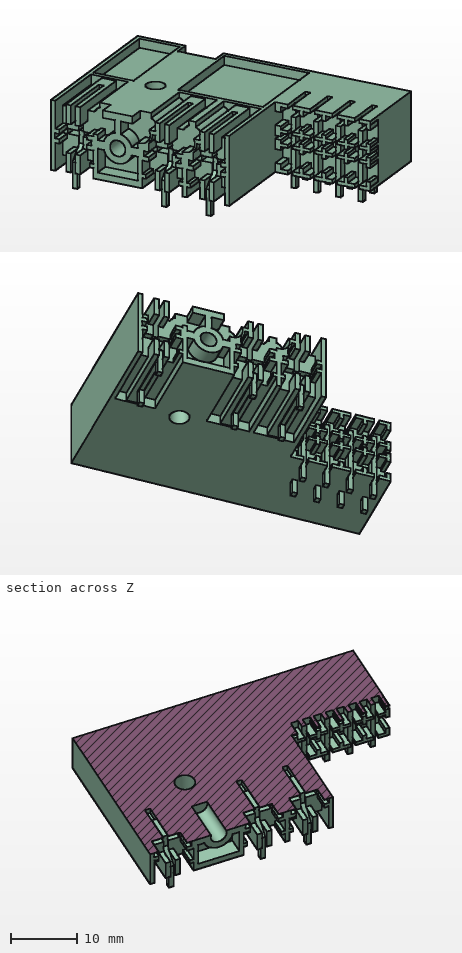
import cadquery as cq
import math

length = 46.7
depth = 28.3
height = 14.0
pin_length = 2.5
mid_z = (pin_length + height) / 2
half_height = (height - pin_length) / 2

pitch = 7.6
power_length = 4 * pitch
contact_centers = [pitch / 2, pitch * 5 / 2, pitch * 7 / 2]
boss_x = pitch * 3 / 2
side_wall = 0.75
open_depth = 2.5
bay_end = 11.65

ledge = 4.05
ledge_web = 3.35
rail_half = 1.15
rib_width = 0.6
slot_half = 0.4

wall_half = 0.37
wall_top = 1.6

key_offset = pitch / 2
key_radius = 1.75
key_outer_radius = 2.1
key_z = wall_top + key_radius
deck_edge_radius = 1.7
deck_edge_offset = 3.2

fork_half = 1.2
fork_near = 2.4
fork_far = 5.5
rail_inner = 2.35
plate_half = 3.15
slot_inner = 2.2
slot_end = 6.75
slit_end = 9.2
blade_half = 0.395
pin_depth = 0.9
blade_front = 0.55
blade_shoulder = 2.8
ramp_top = -1.7
ramp_bottom = -3.95

boss_radius = 2.47
bore_radius = 1.3
bore_depth = 7.0
boss_web_half = 0.7
stem_half = 0.5
flange_half = 2.5
flange_z = 4.55
pocket_floor = 4.6
fixing_radius = 1.55
fixing_y = 12.33
notch_half = 3.2

deck_pocket_depth = 1.5
deck_pocket_front = 12.45
deck_pocket_back = depth - 0.85
deck_pockets = [(side_wall, pitch), (2 * pitch, power_length - side_wall)]

signal_pitch = pitch / 2
signal_first_offset = 2.55
signal_centers = [power_length + signal_first_offset + i * signal_pitch for i in range(4)]
signal_front = 15.0
signal_block_front = signal_front + open_depth
signal_slit_end = 20.75
signal_blade_front = 16.1
signal_blade_top = 3.35
stub_half = 0.35
upper_rows = [(0.85, 1.4, 0.3, 1.95), (5.1, half_height, 4.25, half_height)]


def block(x0, x1, y0, y1, z0, z1):
    """Box between two corners, with z counted from the mid plane."""
    return cq.Workplane("XY").box(x1 - x0, y1 - y0, z1 - z0, centered=False).translate((x0, y0, mid_z + z0))


def rod(x, z, radius, y0, y1):
    """Cylinder along Y, with z counted from the mid plane."""
    plane = cq.Workplane("XZ", origin=(x, y0, mid_z + z))
    return plane.circle(radius).extrude(y0 - y1)


def blade(x, profile):
    """Blade centred on x, from a (y, z) outline."""
    plane = cq.Workplane("YZ", origin=(x - blade_half, 0, 0))
    return plane.polyline(profile).close().extrude(2 * blade_half)


def bay_bounds(x):
    """Inner faces of the walls on both sides of the contact bay at x."""
    left = max(x - pitch / 2 + wall_half, side_wall)
    right = min(x + pitch / 2 - wall_half, power_length - side_wall)
    return left, right


def has_neighbour(x, side):
    """True where the bay borders another station instead of an outer wall."""
    return 0 < x + side * pitch < power_length


def top_recess(x):
    """Recess over the contact bay; the deck edge beside another station is rounded about the key axis."""
    left, right = bay_bounds(x)
    recess = block(left, right, open_depth, bay_end, ledge, half_height)
    for side in (-1, 1):
        if has_neighbour(x, side):
            key_x = x + side * key_offset
            deck_edge = x + side * deck_edge_offset
            outside = sorted((deck_edge, x + side * pitch))
            recess = recess.cut(rod(key_x, key_z, deck_edge_radius, open_depth, bay_end))
            recess = recess.cut(block(*outside, open_depth, bay_end, ledge, half_height))
    return recess


def key_wall(x):
    """Curved wall left of the bay at x, with the web that ties it to the upper fork."""
    key_x = x - key_offset
    wall_left = x - pitch / 2 - wall_half
    rail_edge = x - rail_inner
    ring_bottom = key_z - math.sqrt(key_outer_radius**2 - (rail_edge - key_x) ** 2)
    ring = rod(key_x, key_z, key_outer_radius, 0, open_depth)
    ring = ring.intersect(block(key_x, x, 0, open_depth, ring_bottom, ledge))
    base = block(wall_left, rail_edge, 0, open_depth, -rail_half, ring_bottom)
    web = block(key_x, x - fork_half, 0, open_depth, ledge_web, ledge)
    return ring.union(base).union(web).cut(rod(key_x, key_z, key_radius, 0, open_depth))


def bay_rails(x):
    """Plate rails at mid height and the small ribs near the bottom of the bay."""
    left, right = bay_bounds(x)
    rails = block(left, x - rail_inner, 0, open_depth, -rail_half, rail_half)
    rails = rails.union(block(x + rail_inner, right, 0, open_depth, -rail_half, rail_half))
    if has_neighbour(x, -1):
        rails = rails.union(block(left, left + rib_width, 0, open_depth, -ledge, -ledge_web))
    if has_neighbour(x, 1):
        rails = rails.union(block(right - rib_width, right, 0, open_depth, -ledge, -ledge_web))
    return rails


body = block(0, power_length, open_depth, depth, -half_height, half_height)
for wall_x in (0, power_length - side_wall):
    body = body.union(block(wall_x, wall_x + side_wall, 0, open_depth, -half_height, half_height))

for deck_left, deck_right in deck_pockets:
    body = body.cut(
        block(deck_left, deck_right, deck_pocket_front, deck_pocket_back,
              half_height - deck_pocket_depth, half_height)
    )

for x in contact_centers:
    bay_left, bay_right = bay_bounds(x)
    body = body.cut(top_recess(x))
    body = body.cut(block(bay_left, bay_right, open_depth, bay_end, -half_height, -ledge))

for wall_x in (pitch, 2 * pitch, 3 * pitch):
    body = body.union(
        block(wall_x - wall_half, wall_x + wall_half, 0, open_depth, -half_height, wall_top)
    )

pocket_left = pitch + wall_half
pocket_right = 2 * pitch - wall_half
body = body.union(rod(boss_x, 0, boss_radius, 0, open_depth))
body = body.union(block(pocket_left, pocket_right, 0, open_depth, -boss_web_half, boss_web_half))
body = body.union(block(boss_x - stem_half, boss_x + stem_half, 0, open_depth, 0, flange_z))
body = body.union(
    block(boss_x - flange_half, boss_x + flange_half, 0, open_depth, flange_z, half_height)
)
body = body.union(block(pocket_left, pocket_right, 0, open_depth, -half_height, -pocket_floor))
body = body.cut(rod(boss_x, 0, bore_radius, 0, bore_depth))

notch = block(boss_x - notch_half, boss_x + notch_half, depth - open_depth, depth,
              boss_web_half, half_height)
body = body.cut(notch.cut(rod(boss_x, 0, boss_radius, depth - open_depth, depth)))

body = body.cut(
    cq.Workplane("XY").center(boss_x, fixing_y).circle(fixing_radius).extrude(height)
)

power_profile = [
    (blade_front, 0),
    (blade_front, mid_z + ramp_bottom),
    (blade_shoulder, mid_z + ramp_top),
    (blade_shoulder, mid_z + slot_half),
    (slot_end, mid_z + slot_half),
    (slot_end, mid_z - slot_half),
    (slit_end, mid_z - slot_half),
    (slit_end, 0),
    (slit_end - pin_depth, 0),
    (slit_end - pin_depth, pin_length),
    (blade_front + pin_depth, pin_length),
    (blade_front + pin_depth, 0),
]
for x in contact_centers:
    body = body.union(bay_rails(x))
    if has_neighbour(x, -1):
        body = body.union(key_wall(x))
    for fork_bottom, fork_top in ((fork_near, fork_far), (-fork_far, -fork_near)):
        body = body.union(block(x - fork_half, x + fork_half, 0, bay_end, fork_bottom, fork_top))
    slots = block(x - plate_half, x + plate_half, 0, open_depth, -slot_half, slot_half)
    slots = slots.union(block(x - slot_inner, x + slot_inner, 0, slot_end, -slot_half, slot_half))
    slots = slots.union(block(x - blade_half, x + blade_half, 0, slit_end, -half_height, half_height))
    body = body.cut(slots)
    body = body.union(blade(x, power_profile))

signal = block(power_length, length, signal_block_front, depth, -half_height, half_height)
stub_centers = [x - signal_pitch / 2 for x in signal_centers]
stub_centers.append(signal_centers[-1] + signal_pitch / 2)
lower_rows = [(-top, -bottom, -stub_top, -stub_bottom) for bottom, top, stub_bottom, stub_top in upper_rows]
for web_bottom, web_top, stub_bottom, stub_top in upper_rows + lower_rows:
    signal = signal.union(
        block(power_length, length, signal_front, signal_block_front, web_bottom, web_top)
    )
    for x in stub_centers:
        stub_left = power_length if x == stub_centers[0] else x - stub_half
        stub_right = min(x + stub_half, length)
        signal = signal.union(
            block(stub_left, stub_right, signal_front, signal_block_front, stub_bottom, stub_top)
        )

signal_profile = [
    (signal_blade_front, 0),
    (signal_blade_front, mid_z + signal_blade_top),
    (signal_slit_end, mid_z + signal_blade_top),
    (signal_slit_end, 0),
    (signal_slit_end - pin_depth, 0),
    (signal_slit_end - pin_depth, pin_length),
    (signal_blade_front + pin_depth, pin_length),
    (signal_blade_front + pin_depth, 0),
]
for x in signal_centers:
    signal = signal.cut(
        block(x - blade_half, x + blade_half, signal_front, signal_slit_end, -half_height, half_height)
    )
    signal = signal.union(blade(x, signal_profile))

result = body.union(signal)